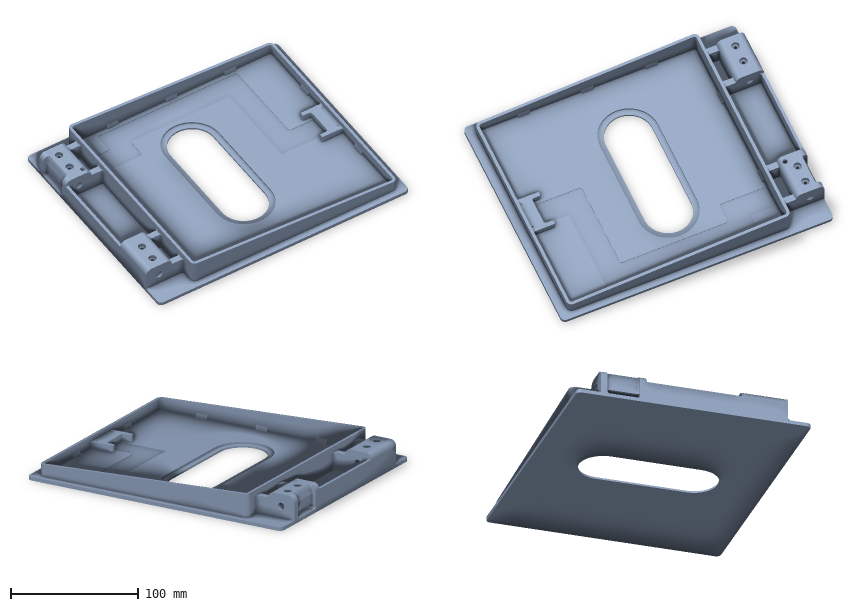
import cadquery as cq

PLATE_X = 194.0
PLATE_Y = 234.0
PLATE_Z = 3.0
PLATE_CORNER_R = 4.0
TOTAL_Z = 23.0
FRONT_Y = -PLATE_Y / 2

WALL = 2.5
FRAME_X = 183.0
FRAME_FRONT_Y = -82.5
FRAME_REAR_Y = 109.3
FRAME_REAR_Z = 13.0
FRAME_OUTER_R = 4.5
FRAME_INNER_R = FRAME_OUTER_R - WALL
FRAME_Y = FRAME_REAR_Y - FRAME_FRONT_Y
FRAME_CENTER_Y = (FRAME_REAR_Y + FRAME_FRONT_Y) / 2
INNER_X = FRAME_X / 2 - WALL
INNER_FRONT_Y = FRAME_FRONT_Y + WALL
INNER_REAR_Y = FRAME_REAR_Y - WALL

WINDOW_LENGTH = 115.0
WINDOW_WIDTH = 40.0
LEDGE_WIDTH = 5.0
LEDGE_Z = 1.5

CHANNEL_WIDTH = 19.0
CHANNEL_DEPTH = 0.5
CHANNEL_CORNER_R = 2.0
CHANNEL_LEFT_X = -85.5
CHANNEL_OUTLET_X = -68.0
CHANNEL_REAR_Y = 72.5
CHANNEL_OUTLET_Y = -58.0

BRACKET_X = 32.0
BRACKET_FRONT_Y = 87.3
BRACKET_TOP_Z = 9.0
BRACKET_LEG = 3.7
BRACKET_GAP_REAR_Y = 95.0
BRACKET_GAP_R = 2.0
BRACKET_TIP_R = 1.0
BRACKET_FOOT_R = 1.5
BRACKET_HOLE_D = 1.2
BRACKET_HOLE_X = 11.4
BRACKET_HOLE_Y = 104.7

WEDGE_LENGTH = 10.5
WEDGE_REACH = 1.5
WEDGE_HEIGHT = 4.0
WEDGE_X = 39.0
WEDGE_Y_PITCH = 55.0
WEDGE_Y_MIDDLE = 13.3

HINGE_X = 58.5
HINGE_WIDTH = 38.0
HINGE_REAR_Y = -92.7
HINGE_EDGE_R = 5.2
ARM_WIDTH = 5.5
ARM_TOP_Z = 18.0
ARM_ROOT_R = 1.5
PIN_D = 6.0
PIN_Y = -104.7
PIN_Z = 12.8

SCREW_SPACING = 15.2
SCREW_OFFSET_X = 1.8
SCREW_Y = -105.0
SCREW_HEAD_D = 6.5
SCREW_HEAD_DEPTH = 2.5
SCREW_D = 2.5

WIRE_HOLE_D = 4.0
WIRE_HOLE_X = -44.8
WIRE_HOLE_Y = -97.8

RECESS_WIDTH = HINGE_WIDTH - 2 * ARM_WIDTH
RECESS_DEPTH = 2.7
RECESS_CORNER_R = 2.0
RECESS_LEAN_Z = 15.6
RECESS_LIP_Z = 21.0
RECESS_LIP_DEPTH = 4.2
RECESS_TOP_DEPTH = HINGE_EDGE_R
TUNNEL_TOP_Z = 7.4

FRONT_WALL = 2.5
FRONT_WALL_ROOT_R = 1.5


def box(x_min, x_max, y_min, y_max, z_min, z_max):
    size = (x_max - x_min, y_max - y_min, z_max - z_min)
    return cq.Workplane("XY").box(*size, centered=False).translate((x_min, y_min, z_min))


def cylinder(x, y, diameter, z_min, z_max):
    return cq.Workplane("XY", origin=(x, y, z_min)).circle(diameter / 2).extrude(z_max - z_min)


def side_profile(points, x_min, x_max):
    """Extrude a YZ outline along X."""
    return cq.Workplane("YZ", origin=(x_min, 0, 0)).polyline(points).close().extrude(x_max - x_min)


def make_plate():
    plate = cq.Workplane("XY").rect(PLATE_X, PLATE_Y).extrude(PLATE_Z)
    return plate.edges("|Z").fillet(PLATE_CORNER_R)


def make_frame():
    ring = cq.Workplane("XY", origin=(0, FRAME_CENTER_Y, 0)).rect(FRAME_X, FRAME_Y).extrude(TOTAL_Z)
    ring = ring.edges("|Z").fillet(FRAME_OUTER_R)
    hollow = box(-INNER_X, INNER_X, INNER_FRONT_Y, INNER_REAR_Y, 0, TOTAL_Z)
    ring = ring.cut(hollow.edges("|Z").fillet(FRAME_INNER_R))
    slope = [(FRAME_FRONT_Y, 0), (FRAME_REAR_Y, 0), (FRAME_REAR_Y, FRAME_REAR_Z), (FRAME_FRONT_Y, TOTAL_Z)]
    return ring.intersect(side_profile(slope, -FRAME_X / 2, FRAME_X / 2))


def make_window():
    ledge_growth = 2 * LEDGE_WIDTH
    opening = cq.Workplane("XY").slot2D(WINDOW_LENGTH, WINDOW_WIDTH).extrude(PLATE_Z)
    ledge = cq.Workplane("XY", origin=(0, 0, LEDGE_Z))
    ledge = ledge.slot2D(WINDOW_LENGTH + ledge_growth, WINDOW_WIDTH + ledge_growth).extrude(PLATE_Z)
    return opening.union(ledge)


def make_channel():
    half = CHANNEL_WIDTH / 2
    outline = [
        (-half, BRACKET_GAP_REAR_Y),
        (-half, CHANNEL_REAR_Y),
        (CHANNEL_LEFT_X, CHANNEL_REAR_Y),
        (CHANNEL_LEFT_X, CHANNEL_OUTLET_Y),
        (CHANNEL_OUTLET_X, CHANNEL_OUTLET_Y),
        (CHANNEL_OUTLET_X, INNER_FRONT_Y),
        (CHANNEL_OUTLET_X + CHANNEL_WIDTH, INNER_FRONT_Y),
        (CHANNEL_OUTLET_X + CHANNEL_WIDTH, CHANNEL_OUTLET_Y + CHANNEL_WIDTH),
        (CHANNEL_LEFT_X + CHANNEL_WIDTH, CHANNEL_OUTLET_Y + CHANNEL_WIDTH),
        (CHANNEL_LEFT_X + CHANNEL_WIDTH, CHANNEL_REAR_Y - CHANNEL_WIDTH),
        (half, CHANNEL_REAR_Y - CHANNEL_WIDTH),
        (half, BRACKET_GAP_REAR_Y),
    ]
    channel = cq.Workplane("XY", origin=(0, 0, PLATE_Z - CHANNEL_DEPTH)).polyline(outline).close()
    return channel.extrude(CHANNEL_DEPTH).edges("|Z").fillet(CHANNEL_CORNER_R)


def root_fillet(corner_x, corner_y, side, radius, top_z):
    """Concave fillet in the corner between a wall facing -Y and a face facing +X (side 1) or -X (side -1)."""
    outer_x = corner_x + side * radius
    square = box(min(corner_x, outer_x), max(corner_x, outer_x), corner_y - radius, corner_y, 0, top_z)
    return square.cut(cylinder(outer_x, corner_y - radius, 2 * radius, 0, top_z))


def make_bracket():
    half = BRACKET_X / 2
    half_gap = half - BRACKET_LEG
    body = box(-half, half, BRACKET_FRONT_Y, INNER_REAR_Y, 0, BRACKET_TOP_Z)
    gap = box(-half_gap, half_gap, BRACKET_FRONT_Y, BRACKET_GAP_REAR_Y, 0, BRACKET_TOP_Z)
    bracket = body.cut(gap.edges("|Z and >Y").fillet(BRACKET_GAP_R))
    bracket = bracket.edges("|Z and <Y").fillet(BRACKET_TIP_R)
    for side in (-1, 1):
        bracket = bracket.union(root_fillet(side * half, INNER_REAR_Y, side, BRACKET_FOOT_R, BRACKET_TOP_Z))
        hole = cylinder(side * BRACKET_HOLE_X, BRACKET_HOLE_Y, BRACKET_HOLE_D, PLATE_Z, BRACKET_TOP_Z)
        bracket = bracket.cut(hole)
    return bracket


def make_wedge(x, y, turn):
    """Snap wedge against the wall at (x, y); with no turn it points toward -Y."""
    outline = [(0, PLATE_Z), (-WEDGE_REACH, PLATE_Z), (0, PLATE_Z + WEDGE_HEIGHT)]
    wedge = side_profile(outline, -WEDGE_LENGTH / 2, WEDGE_LENGTH / 2)
    return wedge.rotate((0, 0, 0), (0, 0, 1), turn).translate((x, y, 0))


def make_wedges():
    wedges = cq.Workplane("XY")
    for x in (-WEDGE_X, WEDGE_X):
        wedges = wedges.add(make_wedge(x, INNER_REAR_Y, 0))
        wedges = wedges.add(make_wedge(x, INNER_FRONT_Y, 180))
    for step in (-1, 0, 1):
        y = WEDGE_Y_MIDDLE + step * WEDGE_Y_PITCH
        wedges = wedges.add(make_wedge(INNER_X, y, -90))
        wedges = wedges.add(make_wedge(-INNER_X, y, 90))
    return wedges.combine()


def make_hinge(center_x):
    x_min = center_x - HINGE_WIDTH / 2
    x_max = center_x + HINGE_WIDTH / 2
    hinge = box(x_min, x_max, FRONT_Y, HINGE_REAR_Y, 0, TOTAL_Z)
    hinge = hinge.edges("|X and >Z").fillet(HINGE_EDGE_R)
    for arm_x in (x_min, x_max - ARM_WIDTH):
        arm = box(arm_x, arm_x + ARM_WIDTH, HINGE_REAR_Y, FRAME_FRONT_Y, 0, ARM_TOP_Z)
        hinge = hinge.union(arm)
        hinge = hinge.union(root_fillet(arm_x, FRAME_FRONT_Y, -1, ARM_ROOT_R, ARM_TOP_Z))
        hinge = hinge.union(root_fillet(arm_x + ARM_WIDTH, FRAME_FRONT_Y, 1, ARM_ROOT_R, ARM_TOP_Z))
    return hinge


def make_hinge_holes():
    pin = cq.Workplane("YZ", origin=(-PLATE_X / 2, PIN_Y, PIN_Z)).circle(PIN_D / 2).extrude(PLATE_X)
    holes = pin.union(cylinder(WIRE_HOLE_X, WIRE_HOLE_Y, WIRE_HOLE_D, PLATE_Z, TOTAL_Z))
    for side in (-1, 1):
        for step in (-0.5, 0.5):
            x = side * (HINGE_X + SCREW_OFFSET_X) + step * SCREW_SPACING
            holes = holes.union(cylinder(x, SCREW_Y, SCREW_D, PIN_Z, TOTAL_Z))
            holes = holes.union(cylinder(x, SCREW_Y, SCREW_HEAD_D, TOTAL_Z - SCREW_HEAD_DEPTH, TOTAL_Z))
    return holes


def make_recess():
    half = RECESS_WIDTH / 2
    profile = [
        (FRONT_Y, TUNNEL_TOP_Z),
        (FRONT_Y + RECESS_DEPTH, TUNNEL_TOP_Z),
        (FRONT_Y + RECESS_DEPTH, RECESS_LEAN_Z),
        (FRONT_Y + RECESS_LIP_DEPTH, RECESS_LIP_Z),
        (FRONT_Y + RECESS_TOP_DEPTH, TOTAL_Z),
        (FRONT_Y, TOTAL_Z),
    ]
    recess = side_profile(profile, -half, half)
    rear_corners = cq.selectors.BoxSelector(
        (-PLATE_X, FRONT_Y + RECESS_DEPTH / 2, 0),
        (PLATE_X, FRAME_FRONT_Y, TOTAL_Z),
    )
    side_edges = recess.edges("not |X").edges("not |Y")
    recess = side_edges.edges(rear_corners).fillet(RECESS_CORNER_R)
    tunnel = box(-half, half, FRONT_Y, HINGE_REAR_Y, PLATE_Z, TUNNEL_TOP_Z)
    tunnel = tunnel.edges("|Y and <Z").fillet(RECESS_CORNER_R)
    return recess.union(tunnel).translate((-HINGE_X, 0, 0))


def make_front_wall():
    inner_x = HINGE_X - HINGE_WIDTH / 2
    rear_y = FRONT_Y + FRONT_WALL
    wall = box(-inner_x, inner_x, FRONT_Y, rear_y + FRONT_WALL_ROOT_R, 0, ARM_TOP_Z)
    room = box(-inner_x, inner_x, rear_y, FRAME_FRONT_Y, 0, ARM_TOP_Z)
    return wall.cut(room.edges("|Z and <Y").fillet(FRONT_WALL_ROOT_R))


result = make_plate().cut(make_channel()).union(make_frame()).cut(make_window())
result = result.union(make_bracket()).union(make_wedges())
result = result.union(make_front_wall()).union(make_hinge(-HINGE_X)).union(make_hinge(HINGE_X))
result = result.cut(make_hinge_holes()).cut(make_recess())